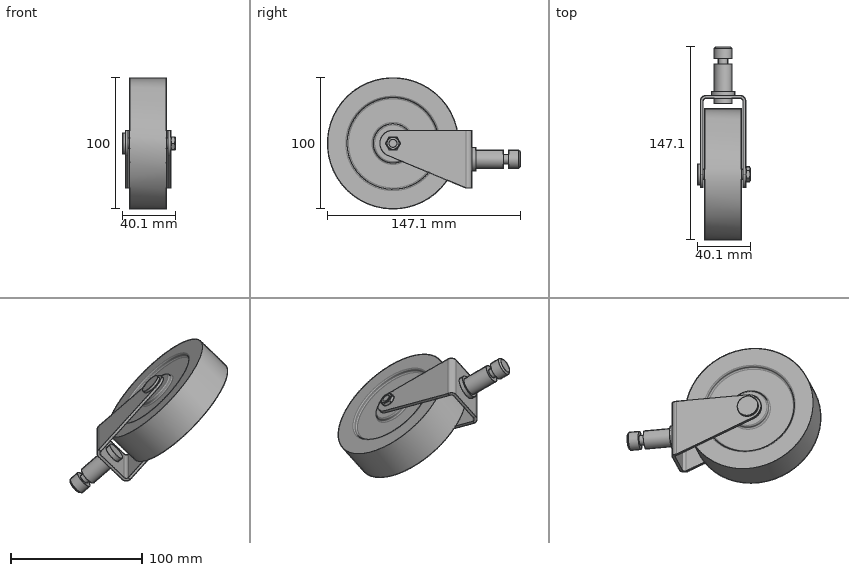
import cadquery as cq
import math

wheel_radius = 50.0
wheel_width = 28.0
recess_radius = 70.0 / 2
recess_depth = 3.0
hub_radius = 30.0 / 2
step_fillet = 1.0

sheet = 2.2
fork_width = 34.7
fork_height = 44.1
fork_end_radius = 10.0
bend_radius = 4.4
fork_back_y = 60.1
fork_bottom_z = fork_end_radius - fork_height
fork_mid_z = fork_end_radius - fork_height / 2
fork_half = fork_width / 2
inner_half = fork_half - sheet

bushing_diameter = 8.0
bolt_diameter = 6.0
bolt_head_diameter = 16.0
bolt_head_height = 2.0
nut_flats = 10.0
nut_height = 3.4
nut_chamfer_angle = 30.0
nut_face_diameter = 9.1

stem_radius = 14.0 / 2
neck_radius = 7.5 / 2
flange_radius = 18.0 / 2
flange_height = 3.1
stem_inner_length = 6.2
stem_shank_length = 20.9
neck_length = 4.0
stem_tip_length = 9.0
stem_chamfer = 1.3


def x_cylinder(diameter, start, end):
    """Cylinder on the axle line between two X positions."""
    return cq.Workplane("YZ", origin=(start, 0, 0)).circle(diameter / 2).extrude(end - start)


def make_wheel():
    """Wheel whose two faces are recessed between the rim and the hub, with filleted steps."""
    wheel = x_cylinder(2 * wheel_radius, -wheel_width / 2, wheel_width / 2)
    for side in (-1, 1):
        floor_x = side * (wheel_width / 2 - recess_depth)
        recess = (
            cq.Workplane("YZ", origin=(floor_x, 0, 0))
            .circle(recess_radius)
            .circle(hub_radius)
            .extrude(side * recess_depth)
        )
        wheel = wheel.cut(recess)
    step_edges = []
    for edge in wheel.edges("%CIRCLE").vals():
        if edge.radius() < (recess_radius + wheel_radius) / 2:
            step_edges.append(edge)
    wheel = wheel.newObject(step_edges).fillet(step_fillet)
    return wheel.cut(x_cylinder(bushing_diameter, -wheel_width / 2, wheel_width / 2))


def fork_channel():
    """Bent U-shaped sheet, open towards -Y, at full height."""
    length = fork_back_y + fork_end_radius
    outer = (
        cq.Workplane("XY", origin=(0, fork_back_y - length / 2, fork_bottom_z))
        .rect(fork_width, length)
        .extrude(fork_height)
        .edges("|Z and >Y")
        .fillet(bend_radius)
    )
    inner = (
        cq.Workplane("XY", origin=(0, fork_back_y - sheet - length / 2, fork_bottom_z))
        .rect(2 * inner_half, length)
        .extrude(fork_height)
        .edges("|Z and >Y")
        .fillet(bend_radius - sheet)
    )
    return outer.cut(inner)


def fork_side_outline():
    """Side plate outline: a round end and a lower edge tangent to it."""
    corner_y = fork_back_y - bend_radius
    corner_distance = math.hypot(corner_y, fork_bottom_z)
    corner_angle = math.atan2(fork_bottom_z, corner_y)
    tangent_angle = corner_angle - math.acos(fork_end_radius / corner_distance)
    tangent_y = fork_end_radius * math.cos(tangent_angle)
    tangent_z = fork_end_radius * math.sin(tangent_angle)
    return (
        cq.Workplane("YZ", origin=(-fork_half, 0, 0))
        .moveTo(fork_back_y, fork_end_radius)
        .lineTo(0, fork_end_radius)
        .threePointArc((-fork_end_radius, 0), (tangent_y, tangent_z))
        .lineTo(corner_y, fork_bottom_z)
        .lineTo(fork_back_y, fork_bottom_z)
        .close()
    )


def make_fork():
    """Bent sheet fork with a bolt hole through both sides and a stem hole in its back."""
    fork = fork_channel().intersect(fork_side_outline().extrude(fork_width))
    fork = fork.cut(x_cylinder(bolt_diameter, -fork_half, fork_half))
    stem_hole = (
        cq.Workplane("XZ", origin=(0, fork_back_y, fork_mid_z))
        .circle(stem_radius)
        .extrude(sheet)
    )
    return fork.cut(stem_hole)


def make_stem():
    """Turned stem on a line parallel to Y: flange, shank, neck and chamfered tip."""
    inner_y = fork_back_y - stem_inner_length
    flange_y = fork_back_y + flange_height
    neck_y = flange_y + stem_shank_length
    tip_y = neck_y + neck_length
    end_y = tip_y + stem_tip_length
    return (
        cq.Workplane("XY", origin=(0, 0, fork_mid_z))
        .moveTo(0, inner_y)
        .lineTo(stem_radius, inner_y)
        .lineTo(stem_radius, fork_back_y)
        .lineTo(flange_radius, fork_back_y)
        .lineTo(flange_radius, flange_y)
        .lineTo(stem_radius, flange_y)
        .lineTo(stem_radius, neck_y)
        .lineTo(neck_radius, neck_y)
        .lineTo(neck_radius, tip_y)
        .lineTo(stem_radius, tip_y)
        .lineTo(stem_radius, end_y - stem_chamfer)
        .lineTo(stem_radius - stem_chamfer, end_y)
        .lineTo(0, end_y)
        .close()
        .revolve(360, (0, 0, 0), (0, 1, 0))
    )


def make_bushing():
    """Tube through the wheel, filling the space between the fork sides."""
    tube = x_cylinder(bushing_diameter, -inner_half, inner_half)
    return tube.cut(x_cylinder(bolt_diameter, -inner_half, inner_half))


def make_bolt():
    """Bolt with a flat round head on -X, ending flush with the nut."""
    head = x_cylinder(bolt_head_diameter, -fork_half - bolt_head_height, -fork_half)
    shank = x_cylinder(bolt_diameter, -fork_half, fork_half + nut_height)
    return head.union(shank)


def make_nut():
    """Hexagon nut with corners on +-Y and both ends chamfered by cones."""
    corner_radius = nut_flats / 2 / math.cos(math.radians(30))
    face_radius = nut_face_diameter / 2
    chamfer = (corner_radius - face_radius) * math.tan(math.radians(nut_chamfer_angle))
    end_x = fork_half + nut_height
    hexagon = (
        cq.Workplane("YZ", origin=(fork_half, 0, 0))
        .polygon(6, 2 * corner_radius)
        .extrude(nut_height)
    )
    turned_envelope = (
        cq.Workplane("XY")
        .moveTo(fork_half, 0)
        .lineTo(fork_half, face_radius)
        .lineTo(fork_half + chamfer, corner_radius)
        .lineTo(end_x - chamfer, corner_radius)
        .lineTo(end_x, face_radius)
        .lineTo(end_x, 0)
        .close()
        .revolve(360, (0, 0, 0), (1, 0, 0))
    )
    return hexagon.intersect(turned_envelope).cut(x_cylinder(bolt_diameter, fork_half, end_x))


wheel = make_wheel()
fork = make_fork()
stem = make_stem()
bushing = make_bushing()
bolt = make_bolt()
nut = make_nut()

result = cq.Compound.makeCompound(
    [wheel.val(), fork.val(), stem.val(), bushing.val(), bolt.val(), nut.val()]
)